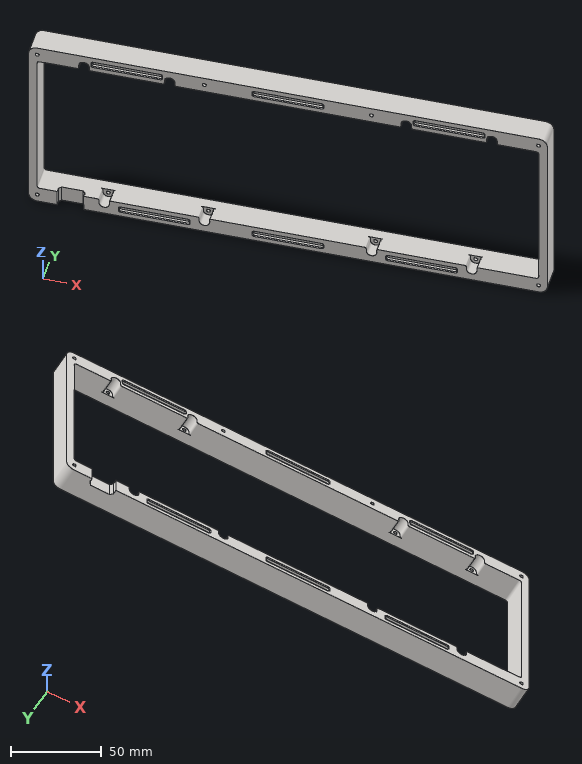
import cadquery as cq
import math

length = 296.2
depth = 15.5
height = 115.8
side_wall = 5.0
bar_height = 10.0
corner_radius = side_wall
back_edge_radius = 1.0
inner_corner_radius = 1.5

front_y = -depth / 2
inner_length = length - 2 * side_wall
inner_height = height - 2 * bar_height

hole_diameter = 2.0
hole_depth = 11.8
hole_inset = side_wall
hole_x = length / 2 - hole_inset
hole_z = height / 2 - hole_inset
middle_hole_x = 47.7

pocket_width = 6.0
pocket_depth = 9.0
pocket_mouth_radius = 1.0
top_pocket_x = (67.5, 116.5)
bottom_pocket_x = (middle_hole_x, 105.0)
pocket_radius = pocket_width / 2
pocket_center_inset = 2.5
pocket_center_z = inner_height / 2 + pocket_center_inset

slot_length = 40.0
slot_height = 3.0
slot_depth = 2.0
slot_chamfer = 0.5
slot_corner_radius = 1.0
slot_z = hole_z

notch_center_x = -124.0
notch_length = 15.0
notch_depth = 4.0
notch_chamfer = 1.5


def mirrored(positions):
    """Positions together with their mirror images about x = 0."""
    return [side * x for x in positions for side in (-1, 1)]


def make_hole(x, z):
    return cq.Workplane("XZ", origin=(x, front_y, z)).circle(hole_diameter / 2).extrude(-hole_depth)


def make_frame():
    outer = cq.Workplane().box(length, depth, height).edges("|Y").fillet(corner_radius)
    outer = outer.faces(">Y").edges().fillet(back_edge_radius)
    window = cq.Workplane().box(inner_length, depth, inner_height)
    return outer.cut(window.edges("|Y").fillet(inner_corner_radius))


def make_pocket(x, side):
    """Pocket in the top (side = 1) or bottom (side = -1) bar, with a rounded flare at its mouth."""
    edge_z = side * inner_height / 2
    center_z = side * pocket_center_z
    flare_z = edge_z + side * pocket_mouth_radius
    flare_half_width = pocket_radius + pocket_mouth_radius
    flare_sag = pocket_mouth_radius * (1 - math.sqrt(0.5))
    flare_mid_half_width = pocket_radius + flare_sag
    flare_mid_z = edge_z + side * flare_sag
    return (
        cq.Workplane("XZ", origin=(x, front_y, 0))
        .moveTo(-flare_half_width, edge_z)
        .threePointArc((-flare_mid_half_width, flare_mid_z), (-pocket_radius, flare_z))
        .lineTo(-pocket_radius, center_z)
        .threePointArc((0, center_z + side * pocket_radius), (pocket_radius, center_z))
        .lineTo(pocket_radius, flare_z)
        .threePointArc((flare_mid_half_width, flare_mid_z), (flare_half_width, edge_z))
        .close()
        .extrude(-pocket_depth)
    )


def make_slot(x, z):
    """Slot with rounded corners and a chamfered rim at the front face."""
    rim_growth = 2 * slot_chamfer
    slot_outline = cq.Sketch().rect(slot_length, slot_height).vertices().fillet(slot_corner_radius)
    rim_outline = (
        cq.Sketch()
        .rect(slot_length + rim_growth, slot_height + rim_growth)
        .vertices()
        .fillet(slot_corner_radius + slot_chamfer)
    )
    front_plane = cq.Workplane("XZ", origin=(x, front_y, z))
    slot = front_plane.placeSketch(slot_outline).extrude(-slot_depth)
    rim = front_plane.placeSketch(rim_outline).extrude(-slot_chamfer, taper=45)
    return slot.union(rim)


def make_notch():
    notch = cq.Workplane().box(notch_length, notch_depth, bar_height)
    notch = notch.faces(">Y").edges("|Z").chamfer(notch_chamfer)
    return notch.translate((notch_center_x, front_y + notch_depth / 2, (bar_height - height) / 2))


result = make_frame().cut(make_notch())

screw_holes = [(x, side * hole_z) for x in mirrored([hole_x]) for side in (-1, 1)]
screw_holes += [(x, hole_z) for x in mirrored([middle_hole_x])]

for side, pocket_positions in ((1, top_pocket_x), (-1, bottom_pocket_x)):
    for x in mirrored(pocket_positions):
        result = result.cut(make_pocket(x, side))
        screw_holes.append((x, side * pocket_center_z))
    slot_x = sum(pocket_positions) / 2
    for x in (-slot_x, 0, slot_x):
        result = result.cut(make_slot(x, side * slot_z))

for x, z in screw_holes:
    result = result.cut(make_hole(x, z))